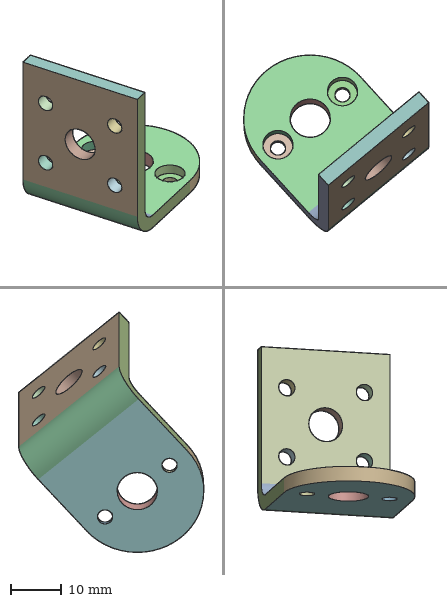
import cadquery as cq

width = 26.5
length = 34.0
height = 34.0
thickness = 3.0
inner_bend_radius = 3.0
outer_bend_radius = inner_bend_radius + thickness

end_radius = width / 2
base_center_y = length - end_radius
base_hole_diameter = 8.0
screw_offset = 8.5
screw_diameter = 3.0
counterbore_diameter = 6.0
counterbore_depth = 2.0

upright_center_z = 18.85
upright_hole_diameter = 6.9
mount_diameter = 3.3
mount_spacing_x = 15.98
mount_spacing_z = 14.15


def bent_plate():
    """L-shaped strip with concentric bend arcs, centred on X = 0."""
    profile = (
        cq.Workplane("YZ")
        .moveTo(0, height)
        .lineTo(0, outer_bend_radius)
        .radiusArc((outer_bend_radius, 0), -outer_bend_radius)
        .lineTo(length, 0)
        .lineTo(length, thickness)
        .lineTo(outer_bend_radius, thickness)
        .radiusArc((thickness, outer_bend_radius), inner_bend_radius)
        .lineTo(thickness, height)
        .close()
    )
    return profile.extrude(width / 2, both=True)


def rounded_outline():
    """Plan outline with a semicircular end, as a full-height block."""
    return (
        cq.Workplane("XY")
        .moveTo(-end_radius, 0)
        .lineTo(end_radius, 0)
        .lineTo(end_radius, base_center_y)
        .threePointArc((0, length), (-end_radius, base_center_y))
        .close()
        .extrude(height)
    )


def base_holes():
    """Large through hole and two counterbored screw holes in the horizontal leg."""
    base = cq.Workplane("XY").center(0, base_center_y)
    screw_places = [(-screw_offset, 0), (screw_offset, 0)]
    large = base.circle(base_hole_diameter / 2).extrude(thickness)
    screws = base.pushPoints(screw_places).circle(screw_diameter / 2).extrude(thickness)
    counterbores = (
        base.workplane(offset=thickness - counterbore_depth)
        .pushPoints(screw_places)
        .circle(counterbore_diameter / 2)
        .extrude(counterbore_depth)
    )
    return large.union(screws).union(counterbores)


def upright_holes():
    """Central hole and four mounting holes through the upright leg."""
    face = cq.Workplane("XZ").center(0, upright_center_z)
    central = face.circle(upright_hole_diameter / 2).extrude(-thickness)
    mounts = (
        face.rect(mount_spacing_x, mount_spacing_z, forConstruction=True)
        .vertices()
        .circle(mount_diameter / 2)
        .extrude(-thickness)
    )
    return central.union(mounts)


result = bent_plate().intersect(rounded_outline()).cut(base_holes()).cut(upright_holes())